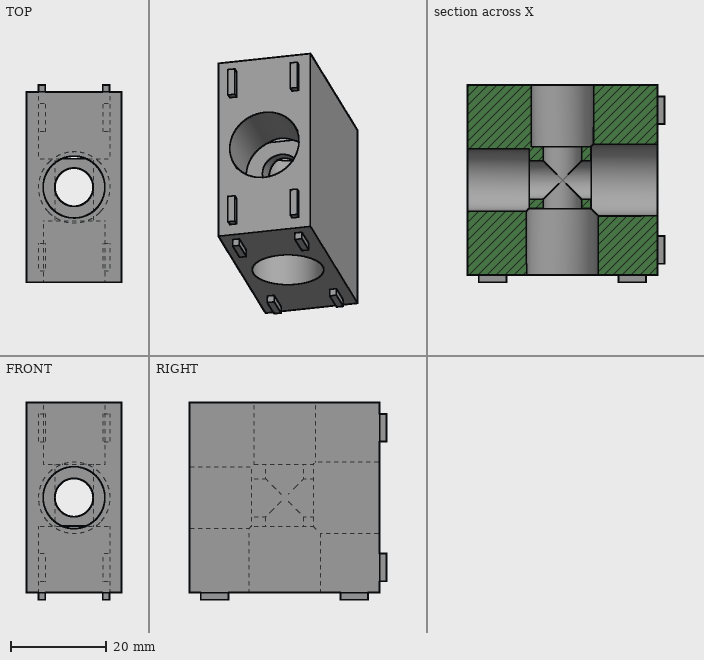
import cadquery as cq

overall_side = 41.5
foot_height = 1.5
block_side = overall_side - foot_height
block_width = block_side / 2

passage_diameter = 8.0

socket_diameter = 13.0
socket_depth = socket_diameter

recess_diameter = 15.02
recess_floor_to_center = 6.0
recess_depth = block_side / 2 - recess_floor_to_center

foot_width = foot_height
foot_length = 5.85
foot_side_margin = 2.5
foot_end_margin = 2.4
foot_spacing_across = block_width - 2 * foot_side_margin - foot_width
foot_spacing_along = block_side - 2 * foot_end_margin - foot_length


def face_plane(body, face):
    """Return a workplane at the middle of the chosen outer face."""
    return body.faces(face).workplane(centerOption="CenterOfBoundBox")


def cut_passage(body, face):
    """Cut a narrow passage from the chosen face right through the block."""
    return face_plane(body, face).hole(passage_diameter)


def cut_counterbore(body, face, diameter, depth):
    """Cut a flat-bottomed round counterbore into the chosen face."""
    return face_plane(body, face).hole(diameter, depth)


def add_feet(body, face):
    """Add four rectangular feet to the chosen outer face."""
    return (
        face_plane(body, face)
        .rect(foot_spacing_across, foot_spacing_along, forConstruction=True)
        .vertices()
        .rect(foot_width, foot_length)
        .extrude(foot_height)
    )


result = cq.Workplane("XY").box(block_width, block_side, block_side)

for socket_face in ("<Y", ">Z"):
    result = cut_passage(result, socket_face)
    result = cut_counterbore(result, socket_face, socket_diameter, socket_depth)

for recess_face in (">Y", "<Z"):
    result = cut_counterbore(result, recess_face, recess_diameter, recess_depth)

for foot_face in (">Y", "<Z"):
    result = add_feet(result, foot_face)